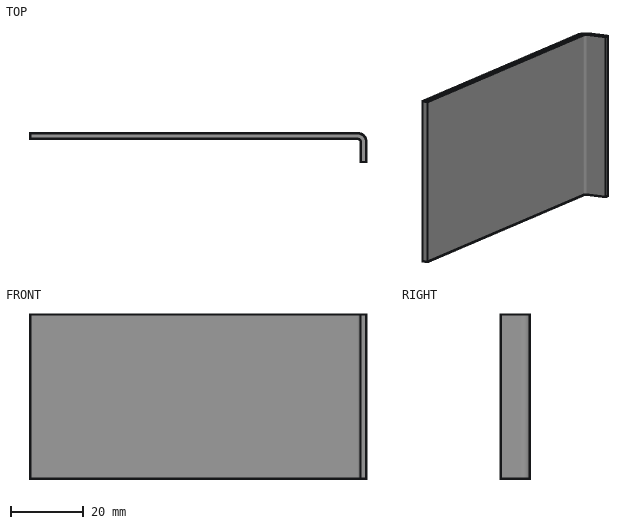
import cadquery as cq

length = 92.6
flange_depth = 8.0
height = 45.3
thickness = 1.6
inner_radius = 0.74
outer_radius = inner_radius + thickness


def bent_sheet():
    """L-shaped sheet: a long plate in XZ with a short flange turned toward -Y."""
    right = length / 2
    back = flange_depth / 2
    plate_and_flange = (
        cq.Workplane("XY")
        .moveTo(-right, back)
        .lineTo(right - outer_radius, back)
        .radiusArc((right, back - outer_radius), outer_radius)
        .lineTo(right, -back)
        .lineTo(right - thickness, -back)
        .lineTo(right - thickness, back - outer_radius)
        .radiusArc((right - outer_radius, back - thickness), -inner_radius)
        .lineTo(-right, back - thickness)
        .close()
    )
    return plate_and_flange.extrude(height / 2, both=True)


result = bent_sheet()